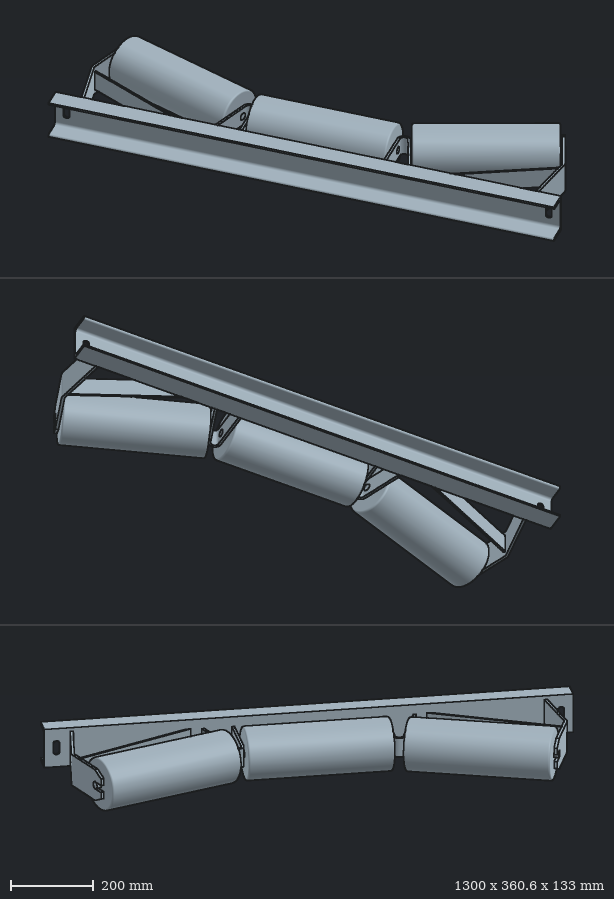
import cadquery as cq
import math


RAIL_LENGTH = 1300.0
RAIL_DEPTH = 51.0
RAIL_HEIGHT = 100.0
WEB_THICKNESS = 5.0
FLANGE_THICKNESS = 8.0
ROOT_RADIUS = 8.0
TOE_RADIUS = 5.0
MOUNT_SLOT_X = 620.0
MOUNT_SLOT_WIDTH = 15.0
MOUNT_SLOT_LENGTH = 35.0

ROLLER_DIAMETER = 133.0
ROLLER_LENGTH = 360.0
ROLLER_EDGE_RADIUS = 5.0
SHAFT_DIAMETER = 18.0
CENTRE_ROLLER_Y = 166.0
SIDE_ROLLER_X = 390.0
SIDE_ROLLER_Y = 238.0
TROUGH_ANGLE = 20.0

INNER_GAP = 3.0
OUTER_GAP = 4.0
OUTER_STRAP_WIDTH = 80.0
OUTER_STRAP_THICKNESS = 8.0
OUTER_FOOT_X = 582.0
OUTER_TIP_RISE = 29.0
OUTER_TIP_WIDTH = 52.0
OUTER_TAPER_LENGTH = 30.0
OUTER_BEND_DROP = 115.0
OUTER_BEND_RADIUS = 13.0
INNER_STRAP_WIDTH = 50.0
INNER_STRAP_THICKNESS = 6.0
INNER_CREST_Y = 196.0
BRACE_WIDTH = 52.0
BRACE_THICKNESS = 5.0
BRACE_HEAD_DROP = 108.0
BRACE_FOOT_X = 290.0

HALF_ROLLER = ROLLER_LENGTH / 2
INNER_FACE = HALF_ROLLER + INNER_GAP
OUTER_FACE = HALF_ROLLER + OUTER_GAP
INNER_SHAFT_END = INNER_FACE + INNER_STRAP_THICKNESS
OUTER_SHAFT_END = OUTER_FACE + OUTER_STRAP_THICKNESS
COS_TROUGH = math.cos(math.radians(TROUGH_ANGLE))
SIN_TROUGH = math.sin(math.radians(TROUGH_ANGLE))


def side_point(along, rise):
    """XY point given along the left roller axis (inward) and square to it (upward)."""
    x = -SIDE_ROLLER_X + along * COS_TROUGH + rise * SIN_TROUGH
    y = SIDE_ROLLER_Y - along * SIN_TROUGH + rise * COS_TROUGH
    return (x, y)


def side_placed(shape):
    """Move a shape drawn about the origin onto the axis of the left roller."""
    turned = shape.rotate((0, 0, 0), (0, 0, 1), -TROUGH_ANGLE)
    return turned.translate((-SIDE_ROLLER_X, SIDE_ROLLER_Y, 0))


def both_sides(left):
    """The left body and its mirror image on the right."""
    return [left.val(), left.mirror("YZ").val()]


def make_rail():
    """Channel of constant section with a mounting slot near each end of its web."""
    half_height = RAIL_HEIGHT / 2
    web_face_y = RAIL_DEPTH - WEB_THICKNESS
    flange_face_z = half_height - FLANGE_THICKNESS
    profile = (
        cq.Workplane("YZ", origin=(-RAIL_LENGTH / 2, 0, 0))
        .moveTo(0, -half_height)
        .lineTo(RAIL_DEPTH, -half_height)
        .lineTo(RAIL_DEPTH, half_height)
        .lineTo(0, half_height)
        .lineTo(0, flange_face_z + TOE_RADIUS)
        .radiusArc((TOE_RADIUS, flange_face_z), -TOE_RADIUS)
        .lineTo(web_face_y - ROOT_RADIUS, flange_face_z)
        .radiusArc((web_face_y, flange_face_z - ROOT_RADIUS), ROOT_RADIUS)
        .lineTo(web_face_y, -flange_face_z + ROOT_RADIUS)
        .radiusArc((web_face_y - ROOT_RADIUS, -flange_face_z), ROOT_RADIUS)
        .lineTo(TOE_RADIUS, -flange_face_z)
        .radiusArc((0, -flange_face_z - TOE_RADIUS), -TOE_RADIUS)
        .close()
    )
    slots = (
        cq.Workplane("XZ")
        .pushPoints([(-MOUNT_SLOT_X, 0), (MOUNT_SLOT_X, 0)])
        .slot2D(MOUNT_SLOT_LENGTH, MOUNT_SLOT_WIDTH, 90)
        .extrude(-RAIL_DEPTH)
    )
    return profile.extrude(RAIL_LENGTH).cut(slots)


def make_shaft(start_x, end_x):
    """Round bar along the X axis."""
    return cq.Workplane("YZ", origin=(start_x, 0, 0)).circle(SHAFT_DIAMETER / 2).extrude(end_x - start_x)


def make_roller(left_shaft_end, right_shaft_end):
    """Roller along X, centred on the origin, in one piece with its shaft ends."""
    drum = (
        cq.Workplane("YZ")
        .circle(ROLLER_DIAMETER / 2)
        .extrude(ROLLER_LENGTH)
        .translate((-HALF_ROLLER, 0, 0))
        .faces("<X or >X")
        .edges()
        .fillet(ROLLER_EDGE_RADIUS)
    )
    return drum.union(make_shaft(-left_shaft_end, right_shaft_end))


def make_inner_strap():
    """Left inner strap: an upright leg and a sloping leg joined by a round crest."""
    half_thickness = INNER_STRAP_THICKNESS / 2
    leg_offset = INNER_FACE + half_thickness
    crest_middle_y = INNER_CREST_Y - half_thickness
    crest_along = (SIDE_ROLLER_X - leg_offset) * COS_TROUGH + (SIDE_ROLLER_Y - crest_middle_y) * SIN_TROUGH
    bend_radius = (crest_along - leg_offset) / (1 + COS_TROUGH - SIN_TROUGH)
    outer_radius = bend_radius + half_thickness
    inner_radius = bend_radius - half_thickness
    bend_x = -leg_offset - bend_radius
    bend_y = crest_middle_y - bend_radius

    def slope_tangent(radius):
        return (bend_x - radius * COS_TROUGH, bend_y + radius * SIN_TROUGH)

    def slope_foot(along):
        rise = (along * SIN_TROUGH + RAIL_DEPTH - SIDE_ROLLER_Y) / COS_TROUGH
        return side_point(along, rise)

    strap = (
        cq.Workplane("XY")
        .moveTo(-INNER_FACE, RAIL_DEPTH)
        .lineTo(-INNER_FACE, bend_y)
        .threePointArc((bend_x, bend_y + outer_radius), slope_tangent(outer_radius))
        .lineTo(*slope_foot(INNER_FACE))
        .lineTo(*slope_foot(INNER_SHAFT_END))
        .lineTo(*slope_tangent(inner_radius))
        .threePointArc((bend_x, bend_y + inner_radius), (-INNER_SHAFT_END, bend_y))
        .lineTo(-INNER_SHAFT_END, RAIL_DEPTH)
        .close()
        .extrude(INNER_STRAP_WIDTH / 2, both=True)
    )
    upright_hole = make_shaft(-INNER_SHAFT_END, -INNER_FACE).translate((0, CENTRE_ROLLER_Y, 0))
    slope_hole = side_placed(make_shaft(INNER_FACE, INNER_SHAFT_END))
    return strap.cut(upright_hole).cut(slope_hole)


def make_outer_strap():
    """Left outer strap: bent once, with a tapered and slotted tip."""
    half_thickness = OUTER_STRAP_THICKNESS / 2
    strap = (
        cq.Workplane("XY")
        .moveTo(-OUTER_FOOT_X + half_thickness, RAIL_DEPTH)
        .lineTo(*side_point(-OUTER_FACE, -OUTER_BEND_DROP))
        .lineTo(*side_point(-OUTER_FACE, OUTER_TIP_RISE))
        .lineTo(*side_point(-OUTER_SHAFT_END, OUTER_TIP_RISE))
        .lineTo(*side_point(-OUTER_SHAFT_END, -OUTER_BEND_DROP))
        .lineTo(-OUTER_FOOT_X - half_thickness, RAIL_DEPTH)
        .close()
        .extrude(OUTER_STRAP_WIDTH / 2, both=True)
    )
    bends = [
        (-OUTER_FACE, OUTER_BEND_RADIUS),
        (-OUTER_SHAFT_END, OUTER_BEND_RADIUS + OUTER_STRAP_THICKNESS),
    ]
    for along, radius in bends:
        bend_x, bend_y = side_point(along, -OUTER_BEND_DROP)
        bend_edge = cq.selectors.NearestToPointSelector((bend_x, bend_y, 0))
        strap = strap.edges(bend_edge).fillet(radius)
    corner = (
        cq.Workplane("YZ", origin=(-OUTER_SHAFT_END, 0, 0))
        .moveTo(OUTER_TIP_RISE - OUTER_TAPER_LENGTH, OUTER_STRAP_WIDTH / 2)
        .lineTo(OUTER_TIP_RISE, OUTER_STRAP_WIDTH / 2)
        .lineTo(OUTER_TIP_RISE, OUTER_TIP_WIDTH / 2)
        .close()
        .extrude(OUTER_STRAP_THICKNESS)
    )
    slot_bottom = make_shaft(-OUTER_SHAFT_END, -OUTER_FACE)
    slot_throat = (
        cq.Workplane("XY", origin=(-OUTER_SHAFT_END, 0, 0))
        .box(OUTER_STRAP_THICKNESS, OUTER_TIP_RISE, SHAFT_DIAMETER, centered=(False, False, True))
    )
    for cutter in [corner, corner.mirror("XY"), slot_bottom, slot_throat]:
        strap = strap.cut(side_placed(cutter))
    return strap


def make_brace(outer_strap):
    """Left brace: a flat plate from the bend of the outer strap down to the rail."""
    head_x, head_y = side_point(-OUTER_FACE - OUTER_STRAP_THICKNESS / 2, -BRACE_HEAD_DROP)
    slope = math.atan2(head_y - RAIL_DEPTH, -BRACE_FOOT_X - head_x)
    brace = (
        cq.Workplane("XY")
        .moveTo(head_x, head_y)
        .lineTo(-BRACE_FOOT_X, RAIL_DEPTH)
        .lineTo(-BRACE_FOOT_X - BRACE_THICKNESS / math.sin(slope), RAIL_DEPTH)
        .lineTo(head_x, head_y - BRACE_THICKNESS / math.cos(slope))
        .close()
        .extrude(BRACE_WIDTH / 2, both=True)
    )
    return brace.cut(outer_strap)


rail = make_rail()
centre_roller = make_roller(INNER_SHAFT_END, INNER_SHAFT_END).translate((0, CENTRE_ROLLER_Y, 0))
side_rollers = both_sides(side_placed(make_roller(OUTER_SHAFT_END, INNER_SHAFT_END)))
inner_straps = both_sides(make_inner_strap())
left_outer_strap = make_outer_strap()
outer_straps = both_sides(left_outer_strap)
braces = both_sides(make_brace(left_outer_strap))

result = cq.Compound.makeCompound(
    [rail.val(), centre_roller.val(), *side_rollers, *inner_straps, *outer_straps, *braces]
)